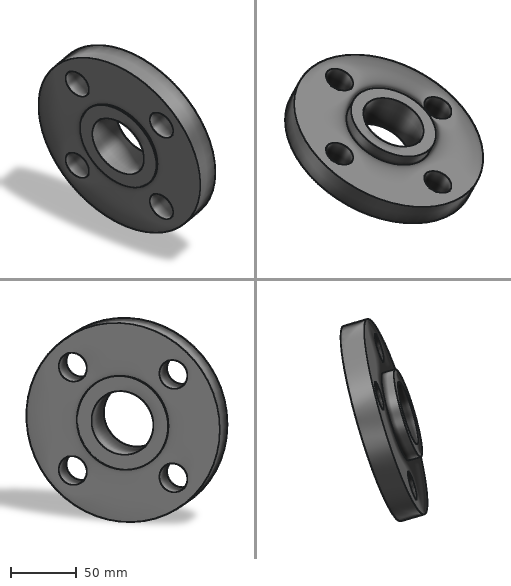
import cadquery as cq

flange_diameter = 155.5
flange_thickness = 19.0
raised_face_diameter = 73.2
raised_face_height = 1.5
hub_diameter = 69.8
total_length = 30.3
bore_diameter = 49.6
bolt_hole_diameter = 22.4
bolt_circle_diameter = 114.3
bolt_count = 4
first_bolt_angle = 45.0

hub_height = total_length - flange_thickness - raised_face_height


def mating_face_plane():
    """Plane of the raised face at Y = 0, with its normal along +Y."""
    return cq.Workplane("XZ").transformed(rotate=(180, 0, 0))


def disc(diameter, start, length):
    """Cylinder on the flange axis, beginning at the given distance behind the raised face."""
    return mating_face_plane().workplane(offset=start).circle(diameter / 2).extrude(length)


def bolt_holes():
    """Evenly spaced through cutters on the bolt circle."""
    return (
        mating_face_plane()
        .polarArray(bolt_circle_diameter / 2, first_bolt_angle, 360, bolt_count)
        .circle(bolt_hole_diameter / 2)
        .extrude(total_length)
    )


flange_back = raised_face_height + flange_thickness
body = disc(raised_face_diameter, 0, raised_face_height)
body = body.union(disc(flange_diameter, raised_face_height, flange_thickness))
body = body.union(disc(hub_diameter, flange_back, hub_height))

bore = disc(bore_diameter, 0, total_length)
result = body.cut(bore).cut(bolt_holes())